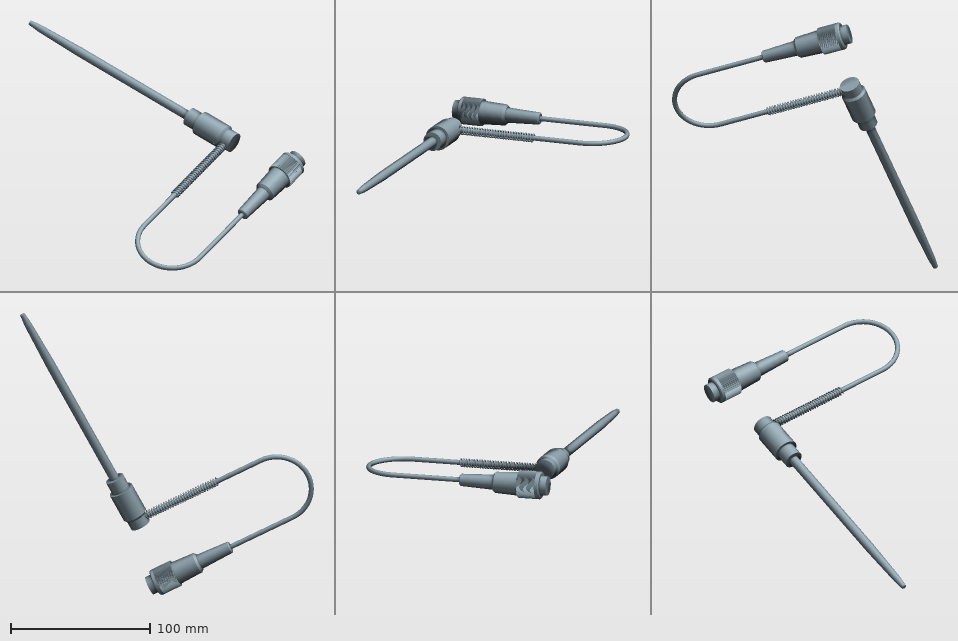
import cadquery as cq
import math

overall_length = 240.2
overall_width = 142.7

tip_end_diameter = 3.5
tip_nose_diameter = 5.3
tip_nose_length = 9.5
tip_dome_height = 0.5
tip_taper_end_x = 44.7
tube_diameter = 7.0
tube_start_x = 49.7
tube_end_x = 144.5

collar_diameter = 13.7
barrel_start_x = 154.5
barrel_diameter = 18.0
barrel_end_x = 176.0
cap_start_x = 177.8
cap_diameter = 15.0
cap_end_x = 185.0
vent_diameter = 1.5
vent_x = 173.5
vent_depth = 1.5

cable_diameter = 3.5
cable_x = 180.5
cable_start_y = -3.5

wire_diameter = 1.0
spring_outer_diameter = 6.5
spring_pitch = 2.0
spring_start_y = -5.8
spring_turns = 29.5
spring_seat_y = -5.0
spring_seat_diameter = 6.7

ring_diameter = 20.0
plug_x = overall_length - ring_diameter / 2
nose_diameter = 14.0
nose_end_y = 16.0
ring_end_y = 11.3
knurl_end_y = 8.5
ring_start_y = -5.3
ring_chamfer = 0.7
ridge_count = 80
ridge_height = 0.5
body_large_diameter = 17.0
body_small_diameter = 15.4
body_taper_end_y = -22.8
body_end_diameter = 12.5
body_end_y = -24.5
boot_large_diameter = 11.0
boot_small_diameter = 9.0
boot_end_y = -49.7
boot_chamfer = 0.7

bend_radius = (plug_x - cable_x) / 2
bend_center_x = cable_x + bend_radius
bend_center_y = nose_end_y - overall_width + cable_diameter / 2 + bend_radius


def turned_about_x(profile):
    """Revolve (x, radius) points about the X axis."""
    points = [(profile[0][0], 0), *profile, (profile[-1][0], 0)]
    return cq.Workplane("XY").polyline(points).close().revolve(360, (0, 0, 0), (1, 0, 0))


def turned_about_plug_axis(profile):
    """Revolve (radius, y) points about the plug's axis."""
    points = [(0, profile[0][1]), *profile, (0, profile[-1][1])]
    turned = cq.Workplane("XY").polyline(points).close().revolve(360, (0, 0, 0), (0, 1, 0))
    return turned.translate((plug_x, 0, 0))


def rod_along_y(diameter, x, start_y, end_y):
    """A round rod parallel to Y, running from start_y down to end_y."""
    return cq.Workplane("XZ", origin=(x, start_y, 0)).circle(diameter / 2).extrude(start_y - end_y)


def make_tip():
    """Tapered tip; the dome's middle point lies on the parabola through its centre and rim."""
    outline = (
        cq.Workplane("XY")
        .moveTo(0, 0)
        .threePointArc(
            (tip_dome_height / 4, tip_end_diameter / 4),
            (tip_dome_height, tip_end_diameter / 2),
        )
        .lineTo(tip_nose_length, tip_nose_diameter / 2)
        .lineTo(tip_taper_end_x, tube_diameter / 2)
        .lineTo(tube_start_x, tube_diameter / 2)
        .lineTo(tube_start_x, 0)
        .close()
    )
    return outline.revolve(360, (0, 0, 0), (1, 0, 0))


def make_tube():
    """Plain probe tube between the tip and the handle."""
    return turned_about_x([(tube_start_x, tube_diameter / 2), (tube_end_x, tube_diameter / 2)])


def make_handle():
    """Stepped handle with a hole for the cable, a seat for the spring and a vent."""
    handle = turned_about_x(
        [
            (tube_end_x, collar_diameter / 2),
            (barrel_start_x, collar_diameter / 2),
            (barrel_start_x, barrel_diameter / 2),
            (barrel_end_x, barrel_diameter / 2),
            (cap_start_x, cap_diameter / 2),
            (cap_end_x, cap_diameter / 2),
        ]
    )
    cable_hole = rod_along_y(cable_diameter, cable_x, cable_start_y, -barrel_diameter / 2)
    spring_seat = rod_along_y(spring_seat_diameter, cable_x, spring_seat_y, -barrel_diameter / 2)
    vent = rod_along_y(vent_diameter, vent_x, vent_depth - barrel_diameter / 2, -barrel_diameter / 2)
    return handle.cut(cable_hole).cut(spring_seat).cut(vent)


def make_cable():
    """Cable from inside the cap around the bend to the end of the plug's boot."""
    path = (
        cq.Workplane("XY")
        .moveTo(cable_x, cable_start_y)
        .lineTo(cable_x, bend_center_y)
        .threePointArc((bend_center_x, bend_center_y - bend_radius), (plug_x, bend_center_y))
        .lineTo(plug_x, boot_end_y)
    )
    section = cq.Workplane("XZ", origin=(cable_x, cable_start_y, 0)).circle(cable_diameter / 2)
    return section.sweep(path)


def make_spring():
    """Right-handed coil of round wire, running from the cap toward -Y."""
    coil_radius = (spring_outer_diameter - wire_diameter) / 2
    helix = cq.Wire.makeHelix(spring_pitch, spring_pitch * spring_turns, coil_radius)
    wire = cq.Workplane("XZ", origin=(coil_radius, 0, 0)).circle(wire_diameter / 2)
    coil = wire.sweep(cq.Workplane(obj=helix), isFrenet=True)
    return coil.rotate((0, 0, 0), (1, 0, 0), 90).translate((cable_x, spring_start_y, 0))


def make_plug():
    """Nose, tapered body and tapered boot in one turned piece."""
    return turned_about_plug_axis(
        [
            (nose_diameter / 2, nose_end_y),
            (nose_diameter / 2, ring_start_y),
            (body_large_diameter / 2, ring_start_y),
            (body_small_diameter / 2, body_taper_end_y),
            (body_end_diameter / 2, body_end_y),
            (boot_large_diameter / 2, body_end_y),
            (boot_small_diameter / 2, boot_end_y + boot_chamfer),
            (boot_small_diameter / 2 - boot_chamfer, boot_end_y),
        ]
    )


def make_knurled_ring():
    """Ring with V-shaped ridges and a plain chamfered band, bored to fit the nose."""
    crest_radius = ring_diameter / 2
    root_radius = crest_radius - ridge_height
    step = math.pi / ridge_count
    outline = []
    for i in range(2 * ridge_count):
        radius = root_radius if i % 2 else crest_radius
        outline.append((radius * math.cos(i * step), radius * math.sin(i * step)))
    knurl = (
        cq.Workplane("XZ", origin=(plug_x, knurl_end_y, 0))
        .polyline(outline)
        .close()
        .extrude(knurl_end_y - ring_start_y)
    )
    band = rod_along_y(ring_diameter, plug_x, ring_end_y, knurl_end_y).faces(">Y").chamfer(ring_chamfer)
    bore = rod_along_y(nose_diameter, plug_x, ring_end_y, ring_start_y)
    return knurl.union(band).cut(bore)


tip = make_tip()
tube = make_tube()
handle = make_handle()
cable = make_cable()
spring = make_spring()
plug = make_plug()
knurled_ring = make_knurled_ring()

result = cq.Compound.makeCompound(
    [
        tip.val(),
        tube.val(),
        handle.val(),
        cable.val(),
        spring.val(),
        plug.val(),
        knurled_ring.val(),
    ]
)